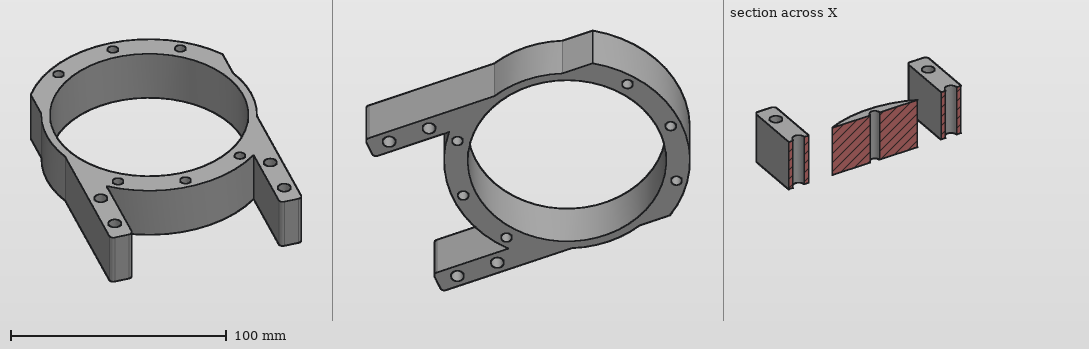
import cadquery as cq
import math

height = 26.0
bore_diameter = 92.0
rim_diameter = 114.0
waist_diameter = 100.0
body_width = 94.0

arm_end_x = 82.0
arm_width = 11.0
arm_corner_radius = 2.0
arm_hole_diameter = 6.0
arm_hole_positions_x = (52.0, 72.0)

bolt_circle_radius = 52.0
bolt_hole_diameter = 5.0
bolt_angle_step = 35.0
bolt_group_angles = (0.0, 180.0)
bolt_angle_offsets = (-bolt_angle_step, 0.0, bolt_angle_step)

arm_center_y = (body_width - arm_width) / 2


def make_ring_body():
    """Rim cut back to the side flats, joined with the slimmer full disc."""
    rim = cq.Workplane("XY").circle(rim_diameter / 2).extrude(height)
    flats = cq.Workplane("XY").rect(rim_diameter, body_width).extrude(height)
    waist = cq.Workplane("XY").circle(waist_diameter / 2).extrude(height)
    return rim.intersect(flats).union(waist)


def make_arm(side):
    """Straight arm with rounded free corners; side is +1 or -1 in Y."""
    return (
        cq.Workplane("XY")
        .center(arm_end_x / 2, side * arm_center_y)
        .rect(arm_end_x, arm_width)
        .extrude(height)
        .edges("|Z and >X")
        .fillet(arm_corner_radius)
    )


def make_bore():
    """Through bore of the ring."""
    return cq.Workplane("XY").circle(bore_diameter / 2).extrude(height)


def make_bolt_holes():
    """Through holes grouped evenly about the +X and -X directions of the rim."""
    angles = [middle + offset for middle in bolt_group_angles for offset in bolt_angle_offsets]
    points = []
    for angle in angles:
        x = bolt_circle_radius * math.cos(math.radians(angle))
        y = bolt_circle_radius * math.sin(math.radians(angle))
        points.append((x, y))
    return cq.Workplane("XY").pushPoints(points).circle(bolt_hole_diameter / 2).extrude(height)


def make_arm_holes():
    """Through holes on the centre line of each arm."""
    points = [(x, side * arm_center_y) for x in arm_hole_positions_x for side in (-1, 1)]
    return cq.Workplane("XY").pushPoints(points).circle(arm_hole_diameter / 2).extrude(height)


body = make_ring_body()
for arm_side in (-1, 1):
    body = body.union(make_arm(arm_side))

result = body.cut(make_bore()).cut(make_bolt_holes()).cut(make_arm_holes())